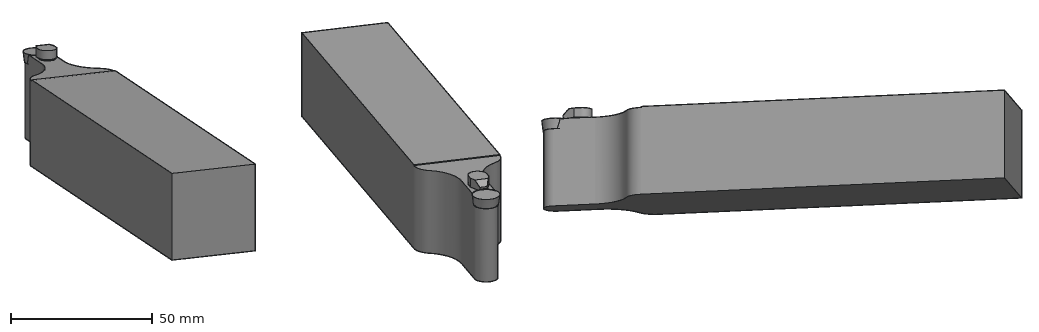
import cadquery as cq
import math

LENGTH = 170.0
SHANK_WIDTH = 32.0
SHANK_HEIGHT = 32.0
HEAD_TOP = 31.6

INSERT_RADIUS = 5.0
INSERT_TOP = 31.8
INSERT_THICKNESS = 3.7
RELIEF_ANGLE = 7.0
INSERT_CENTER_X = INSERT_RADIUS
INSERT_BOTTOM = INSERT_TOP - INSERT_THICKNESS
INSERT_BOTTOM_RADIUS = INSERT_RADIUS - INSERT_THICKNESS * math.tan(math.radians(RELIEF_ANGLE))

NECK_HALF_WIDTH = 4.2
NOSE_CENTER_X = 5.0
BLEND_START_X = 20.0
SHANK_START_X = 39.0
INNER_BLEND_RADIUS = 14.3

CLAMP_TOP = 35.5
CLAMP_BOTTOM = 32.1
CLAMP_TIP_X = 7.8
CLAMP_TIP_HALF_WIDTH = 1.4
CLAMP_SIDE_START_X = 12.2
CLAMP_CENTER_X = 14.6
CLAMP_RADIUS = 3.4
CLAMP_SLOPE_END_X = 10.2
CLAMP_TIP_UPPER_Z = 33.5
CLAMP_TIP_LOWER_Z = 32.8
CLAMP_UNDERCUT_END_X = 8.5
CLAMP_POST_RADIUS = 2.9


def make_insert():
    profile = [
        (0, INSERT_BOTTOM),
        (INSERT_BOTTOM_RADIUS, INSERT_BOTTOM),
        (INSERT_RADIUS, INSERT_TOP),
        (0, INSERT_TOP),
    ]
    cone = cq.Workplane("XZ").polyline(profile).close().revolve(360, (0, 0, 0), (0, 1, 0))
    return cone.translate((INSERT_CENTER_X, 0, 0))


def make_head():
    """Rounded neck and its blends, up to the front end of the shank."""
    half_width = SHANK_WIDTH / 2
    rise = half_width - NECK_HALF_WIDTH
    run = SHANK_START_X - BLEND_START_X
    turn = 2 * math.atan2(rise, run)
    share = INNER_BLEND_RADIUS * math.sin(turn) / run
    joint_x = BLEND_START_X + share * run
    joint_y = NECK_HALF_WIDTH + share * rise
    return (
        cq.Workplane("XY")
        .moveTo(NOSE_CENTER_X, -NECK_HALF_WIDTH)
        .lineTo(BLEND_START_X, -NECK_HALF_WIDTH)
        .tangentArcPoint((joint_x, -joint_y), relative=False)
        .tangentArcPoint((SHANK_START_X, -half_width), relative=False)
        .lineTo(SHANK_START_X, half_width)
        .threePointArc(*upper_outer_arc(joint_x, joint_y, turn))
        .tangentArcPoint((BLEND_START_X, NECK_HALF_WIDTH), relative=False)
        .lineTo(NOSE_CENTER_X, NECK_HALF_WIDTH)
        .threePointArc(
            (NOSE_CENTER_X - NECK_HALF_WIDTH, 0),
            (NOSE_CENTER_X, -NECK_HALF_WIDTH),
        )
        .close()
        .extrude(HEAD_TOP)
    )


def upper_outer_arc(joint_x, joint_y, turn):
    """Middle and end points of the convex arc from the shank side to the joint."""
    radius = (SHANK_START_X - joint_x) / math.sin(turn)
    middle_x = SHANK_START_X - radius * math.sin(turn / 2)
    middle_y = SHANK_WIDTH / 2 - radius * (1 - math.cos(turn / 2))
    return (middle_x, middle_y), (joint_x, joint_y)


def make_shank():
    return cq.Workplane("XY").box(
        LENGTH - SHANK_START_X, SHANK_WIDTH, SHANK_HEIGHT, centered=(False, True, False)
    ).translate((SHANK_START_X, 0, 0))


def make_clamp():
    """Clamp plan outline, trimmed by its side profile, on a round post."""
    rear_x = CLAMP_CENTER_X + CLAMP_RADIUS
    plan = (
        cq.Workplane("XY", origin=(0, 0, CLAMP_BOTTOM))
        .moveTo(CLAMP_TIP_X, -CLAMP_TIP_HALF_WIDTH)
        .lineTo(CLAMP_SIDE_START_X, -CLAMP_RADIUS)
        .lineTo(CLAMP_CENTER_X, -CLAMP_RADIUS)
        .threePointArc((rear_x, 0), (CLAMP_CENTER_X, CLAMP_RADIUS))
        .lineTo(CLAMP_SIDE_START_X, CLAMP_RADIUS)
        .lineTo(CLAMP_TIP_X, CLAMP_TIP_HALF_WIDTH)
        .close()
        .extrude(CLAMP_TOP - CLAMP_BOTTOM)
    )
    side = [
        (CLAMP_TIP_X, CLAMP_TIP_UPPER_Z),
        (CLAMP_TIP_X, CLAMP_TIP_LOWER_Z),
        (CLAMP_UNDERCUT_END_X, CLAMP_BOTTOM),
        (rear_x, CLAMP_BOTTOM),
        (rear_x, CLAMP_TOP),
        (CLAMP_SLOPE_END_X, CLAMP_TOP),
    ]
    profile = cq.Workplane("XZ").polyline(side).close().extrude(CLAMP_RADIUS, both=True)
    post = (
        cq.Workplane("XY", origin=(CLAMP_CENTER_X, 0, HEAD_TOP))
        .circle(CLAMP_POST_RADIUS)
        .extrude(CLAMP_BOTTOM - HEAD_TOP)
    )
    return plan.intersect(profile).union(post)


insert = make_insert()
holder = make_head().union(make_shank()).union(make_clamp()).cut(insert)

result = cq.Compound.makeCompound([holder.val(), insert.val()])